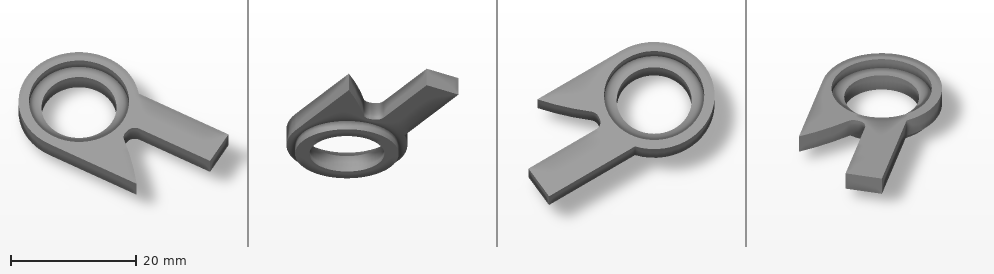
import cadquery as cq

total_length = 33.62
ring_radius = 9.65
plate_thickness = 3.0
boss_radius = 8.27
boss_height = 1.5
bore_radius = 6.0
seat_radius = 8.0
seat_depth = 1.7
arm_width = 6.0
notch_fillet = 1.5
overcut = 1.68

arm_end = total_length - ring_radius

flank_start = (9.08, -2.3)
flank_middle = (12.67, -5.7)
point_tip = (15.97, -ring_radius)


def make_ring():
    return cq.Workplane("XY").circle(ring_radius).extrude(plate_thickness)


def make_notch():
    """Opening between the arm and the lower point, closed by the ring outline."""
    opening = (
        cq.Workplane("XY")
        .moveTo(*flank_start)
        .threePointArc(flank_middle, point_tip)
        .lineTo(arm_end + overcut, -ring_radius)
        .lineTo(arm_end + overcut, 0)
        .lineTo(flank_start[0], 0)
        .close()
        .extrude(plate_thickness)
        .cut(make_ring())
    )
    inner_corners = cq.selectors.BoxSelector(
        (0, -ring_radius, -overcut),
        (flank_middle[0], overcut, plate_thickness + overcut),
    )
    return opening.edges("|Z").edges(inner_corners).fillet(notch_fillet)


def make_plate():
    """Ring with the straight arm and the lower point on its +X side."""
    block = (
        cq.Workplane("XY")
        .moveTo(0, -ring_radius)
        .lineTo(arm_end, -ring_radius)
        .lineTo(arm_end, arm_width)
        .lineTo(0, arm_width)
        .close()
        .extrude(plate_thickness)
    )
    return make_ring().union(block).cut(make_notch())


boss = cq.Workplane("XY").circle(boss_radius).extrude(-boss_height)

bore = (
    cq.Workplane("XY")
    .workplane(offset=-boss_height)
    .circle(bore_radius)
    .extrude(boss_height + plate_thickness)
)
seat = (
    cq.Workplane("XY")
    .workplane(offset=plate_thickness - seat_depth)
    .circle(seat_radius)
    .extrude(seat_depth)
)

result = make_plate().union(boss).cut(bore).cut(seat)